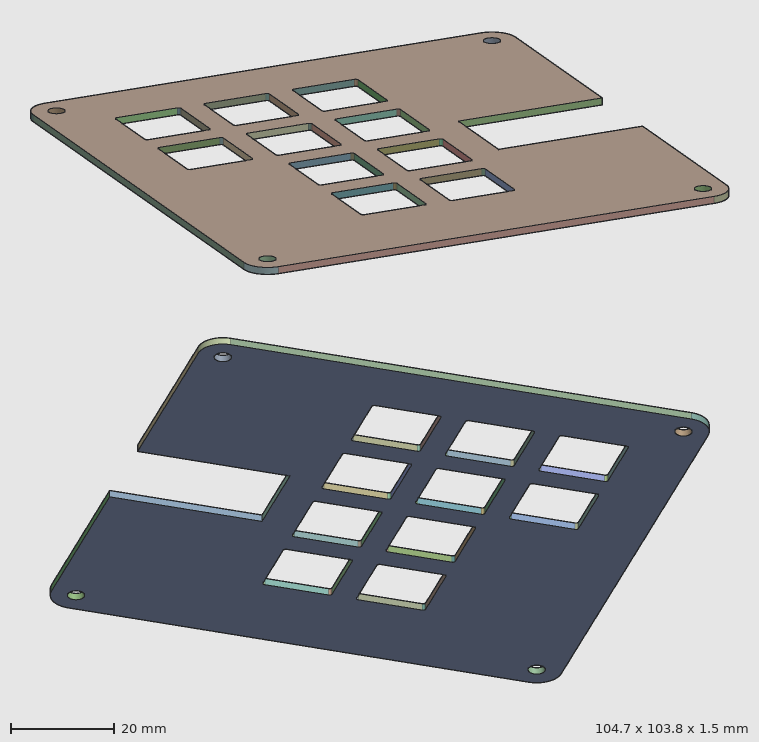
import cadquery as cq

plate_width = 104.7
plate_depth = 103.8
plate_thickness = 1.5
corner_radius = 5.0

mount_hole_diameter = 3.4

notch_left = 44.1
notch_width = 18.0
notch_depth = 31.0

window_size = 14.0
window_corner_radius = 0.5
window_pitch = 19.1
first_window_left = 13.6
first_window_back_gap = 38.2
windows_per_row = [4, 4, 2]


def make_plate():
    """Flat rectangular plate with rounded corners."""
    return (
        cq.Workplane("XY")
        .box(plate_width, plate_depth, plate_thickness, centered=False)
        .edges("|Z")
        .fillet(corner_radius)
    )


def cut_mounting_holes(plate):
    """Drill one through hole at the centre of each corner arc."""
    hole_centres = [
        (x, y)
        for x in (corner_radius, plate_width - corner_radius)
        for y in (corner_radius, plate_depth - corner_radius)
    ]
    holes = (
        cq.Workplane("XY")
        .pushPoints(hole_centres)
        .circle(mount_hole_diameter / 2)
        .extrude(plate_thickness)
    )
    return plate.cut(holes)


def cut_notch(plate):
    """Remove the rectangular notch that opens through the back edge."""
    notch = (
        cq.Workplane("XY")
        .box(notch_width, notch_depth, plate_thickness, centered=False)
        .translate((notch_left, plate_depth - notch_depth, 0))
    )
    return plate.cut(notch)


def cut_key_windows(plate):
    """Cut the grid of square windows, each with slightly rounded corners."""
    first_x = first_window_left + window_size / 2
    first_y = plate_depth - first_window_back_gap - window_size / 2
    window_centres = [
        (first_x + column * window_pitch, first_y - row * window_pitch)
        for row, window_count in enumerate(windows_per_row)
        for column in range(window_count)
    ]
    windows = (
        cq.Workplane("XY")
        .pushPoints(window_centres)
        .rect(window_size, window_size)
        .extrude(plate_thickness)
        .edges("|Z")
        .fillet(window_corner_radius)
    )
    return plate.cut(windows)


plate = make_plate()
plate = cut_mounting_holes(plate)
plate = cut_notch(plate)
result = cut_key_windows(plate)